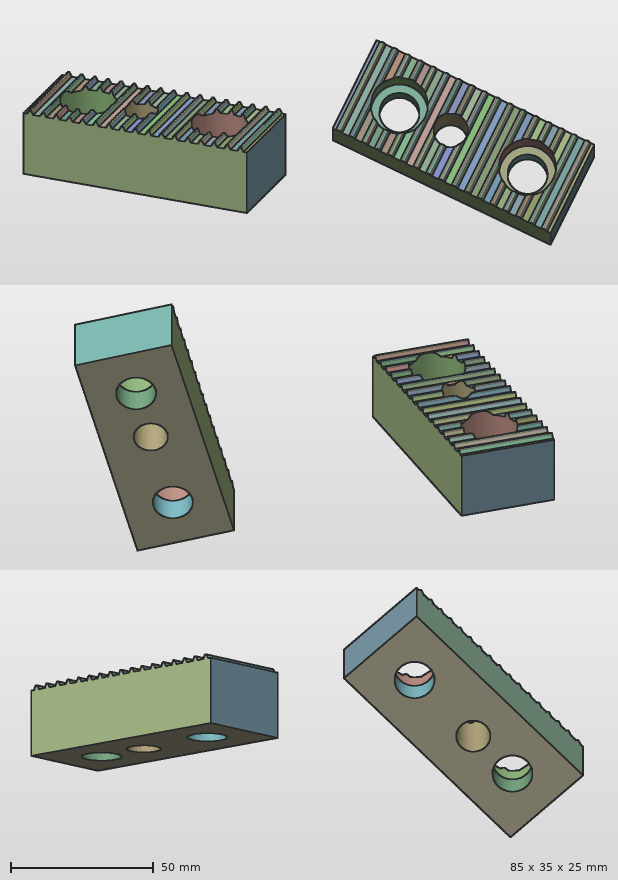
import cadquery as cq
import math

LENGTH = 85.0
WIDTH = 35.0
HEIGHT = 25.0

TOOTH_COUNT = 17
TOOTH_PITCH = LENGTH / TOOTH_COUNT
TOOTH_HEIGHT = 1.6
TIP_RADIUS = 0.5
FLANK_LEAN = math.radians(30)

BOLT_SPACING = 50.0
BOLT_DIAMETER = 14.0
BORE_DIAMETER = 20.0
BORE_DEPTH = 15.0
SMALL_DIAMETER = 12.0
SMALL_OFFSET = -5.0

ROOT_HEIGHT = HEIGHT - TOOTH_HEIGHT


def make_tooth(center_x):
    """One tooth ridge; the tip arc is tangent to both flanks."""
    tip_half = TIP_RADIUS * math.cos(FLANK_LEAN)
    arc_start = HEIGHT - TIP_RADIUS * (1 - math.sin(FLANK_LEAN))
    base_half = tip_half + (arc_start - ROOT_HEIGHT) * math.tan(FLANK_LEAN)
    return (
        cq.Workplane("XZ", origin=(center_x, WIDTH / 2, 0))
        .moveTo(-base_half, ROOT_HEIGHT)
        .lineTo(-tip_half, arc_start)
        .threePointArc((0, HEIGHT), (tip_half, arc_start))
        .lineTo(base_half, ROOT_HEIGHT)
        .close()
        .extrude(WIDTH)
    )


def make_hole(center_x, diameter, depth):
    """Vertical cylinder going down from the tooth tips."""
    return cq.Workplane("XY", origin=(center_x, 0, HEIGHT - depth)).circle(diameter / 2).extrude(depth)


result = cq.Workplane("XY").box(LENGTH, WIDTH, ROOT_HEIGHT, centered=(True, True, False))

for index in range(TOOTH_COUNT):
    result = result.union(make_tooth((index - (TOOTH_COUNT - 1) / 2) * TOOTH_PITCH))

for bolt_x in (-BOLT_SPACING / 2, BOLT_SPACING / 2):
    result = result.cut(make_hole(bolt_x, BOLT_DIAMETER, HEIGHT))
    result = result.cut(make_hole(bolt_x, BORE_DIAMETER, BORE_DEPTH))

result = result.cut(make_hole(SMALL_OFFSET, SMALL_DIAMETER, HEIGHT))